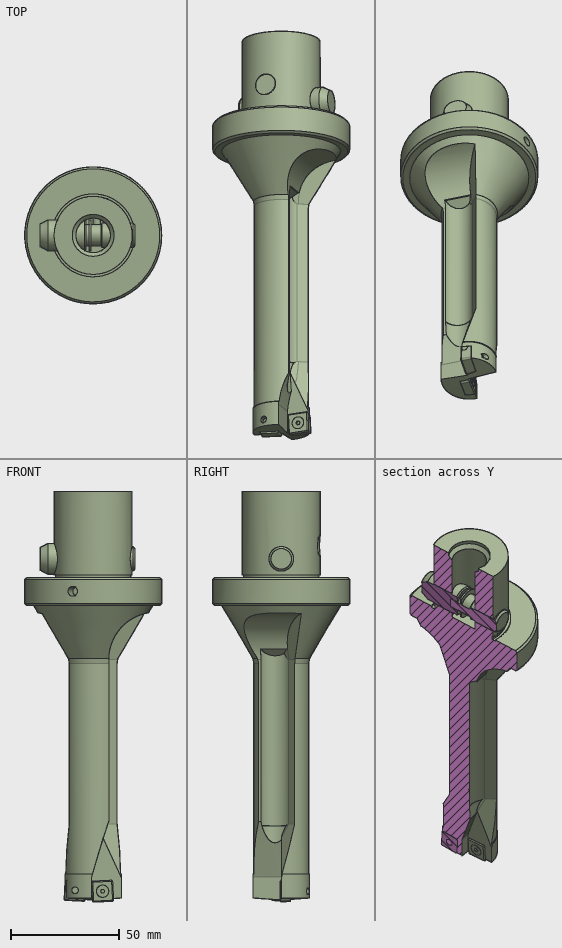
import cadquery as cq
import math


shank_radius = 18.0
overall_length = 190.0
shank_top = 39.7
relief_radius = 17.5
relief_height = 1.1
relief_outer_radius = 19.2
relief_depth = 0.8
bore_radius = 8.0
bore_mouth_radius = 9.7
bore_mouth_depth = 1.7
bore_floor = 0.0
flange_radius = 31.7
flange_bottom = -13.1
flange_chamfer = 1.0

cone_top_radius = 27.5
cone_bottom = -37.6
stem_top = -39.9
stem_radius = 12.7
neck_radius = 13.1
head_radius = 13.1
head_top = -137.2
head_bottom = -148.4
tip_drop = 1.0

flute_floor = 7.2
flute_exit_radius = 21.8
flute_arc_center = -38.0
wall_angle = 33.0
wall_cone_slope = 0.24
wall_bend = -114.0
wall_head_slope = 0.3
floor_low_end = -138.7
outer_run_out_top = -123.5
outer_run_out_bulge = 0.8
outer_low_floor = 3.0
inner_run_out_top = -112.9
inner_run_out_bulge = 0.2
inner_low_floor = -0.8
clearance = 57.0

groove_width = 13.1
groove_depth = 3.8
groove_center = 2.8
groove_top = -33.0
groove_end_slope = 3.2
groove_bend = -115.0
groove_run_out = -131.0
groove_run_out_angle = 4.0

insert_size = 9.9
insert_thickness = 5.0
insert_corner = 0.8
insert_edge_chamfer = 0.5
insert_proud = 0.5
insert_tilt = 3.0
insert_taper = 5.0
outer_insert_x = -8.4
outer_insert_z = -144.8
inner_insert_x = 4.4
screw_head_radius = 2.8
screw_head_height = 1.9
screw_radius = 1.5
screw_tip = 8.7
socket_width = 1.9
socket_depth = 1.0

pin_height = 8.5
sleeve_radius = 7.2
sleeve_start = -24.5
sleeve_end = -3.5
sleeve_tip_radius = 5.3
sleeve_taper = 3.6
stop_ring_start = -1.9
stop_ring_width = 1.0
bolt_radius = 5.7
bolt_neck_radius = 5.0
bolt_start = -7.6
bolt_shoulder = 3.6
bolt_end = 19.4
bolt_chamfer = 1.0
sleeve_hole_end = 4.2
pin_edge_chamfer = 0.5

locator_x = 1.7
locator_z = 14.6
locator_radius = 5.0
locator_outer_end = 17.1
locator_shoulder = 9.5
locator_tip_radius = 1.7
locator_tip_end = 5.0

rim_hole_radius = 2.3
rim_hole_depth = 7.6
rim_hole_z = -6.5
rim_hole_angle = 17.4


def along_x(x, radius, length):
    """Cylinder on the axis of the clamping pin."""
    return cq.Workplane("YZ", origin=(x, 0, pin_height)).circle(radius).extrude(length)


def along_y(x, y, z, radius, length):
    """Cylinder that runs toward +Y."""
    return cq.Workplane("XZ", origin=(x, y, z)).circle(radius).extrude(-length)


def turned_blank():
    outline = [
        (0, shank_top),
        (shank_radius, shank_top),
        (shank_radius, relief_height),
        (relief_radius, relief_height),
        (relief_radius, -relief_depth),
        (relief_outer_radius, -relief_depth),
        (relief_outer_radius, 0),
        (flange_radius - flange_chamfer, 0),
        (flange_radius, -flange_chamfer),
        (flange_radius, flange_bottom + flange_chamfer),
        (flange_radius - flange_chamfer, flange_bottom),
        (cone_top_radius, flange_bottom),
        (neck_radius, cone_bottom),
        (stem_radius, stem_top),
        (stem_radius, head_top),
        (head_radius, head_top),
        (head_radius, head_bottom),
        (0, head_bottom - tip_drop),
    ]
    return cq.Workplane("XZ").polyline(outline).close().revolve(360, (0, 0), (0, 1))


def shank_bore():
    funnel_end = shank_top - bore_mouth_depth - (bore_mouth_radius - bore_radius)
    outline = [
        (0, shank_top),
        (bore_mouth_radius, shank_top),
        (bore_mouth_radius, shank_top - bore_mouth_depth),
        (bore_radius, funnel_end),
        (bore_radius, bore_floor),
        (0, bore_floor),
    ]
    return cq.Workplane("XZ").polyline(outline).close().revolve(360, (0, 0), (0, 1))


def flute_pocket(run_out_top, run_out_bulge, low_floor):
    """Open pocket on the -X side: a floor profile limited by a leaning wall."""
    arc_center_x = -flute_floor - flute_exit_radius
    arc_part = flute_exit_radius * math.sqrt(0.5)
    exit_top = flute_arc_center + flute_exit_radius
    run_out_middle = (
        -(flute_floor + low_floor) / 2 + run_out_bulge,
        (run_out_top + floor_low_end) / 2,
    )
    floor_shape = (
        cq.Workplane("XZ", origin=(0, clearance, 0))
        .moveTo(-clearance, exit_top)
        .lineTo(arc_center_x, exit_top)
        .threePointArc(
            (arc_center_x + arc_part, flute_arc_center + arc_part),
            (-flute_floor, flute_arc_center),
        )
        .lineTo(-flute_floor, run_out_top)
        .threePointArc(run_out_middle, (-low_floor, floor_low_end))
        .lineTo(-low_floor, -overall_length)
        .lineTo(-clearance, -overall_length)
        .close()
        .extrude(2 * clearance)
    )
    return floor_shape.intersect(wall_space())


def wall_block(low_z, high_z, low_shift, high_shift):
    """Space on the +Y side of the leaning wall, whose foot shifts along Y between two heights."""
    lean = math.tan(math.radians(wall_angle))
    foot = groove_center - groove_width / 2 + flute_floor * lean

    def section(z, shift):
        return cq.Wire.makePolygon(
            [
                cq.Vector(-clearance, foot + shift - clearance * lean, z),
                cq.Vector(clearance, foot + shift + clearance * lean, z),
                cq.Vector(clearance, 2 * clearance, z),
                cq.Vector(-clearance, 2 * clearance, z),
            ],
            close=True,
        )

    block = cq.Solid.makeLoft([section(low_z, low_shift), section(high_z, high_shift)], True)
    return cq.Workplane(block)


def wall_space():
    """Upright along the stem, opening into the cone, and closing toward Y = 0 at the head."""
    cone_part = wall_block(flute_arc_center, 0, 0, -wall_cone_slope * flute_arc_center)
    stem_part = wall_block(wall_bend, flute_arc_center, 0, 0)
    head_shift = wall_head_slope * (wall_bend - floor_low_end)
    head_part = wall_block(floor_low_end, wall_bend, head_shift, 0)
    web_part = (
        cq.Workplane("XY", origin=(0, clearance, wall_bend))
        .rect(2 * clearance, 2 * clearance)
        .extrude(-clearance)
    )
    return stem_part.union(cone_part).union(head_part).union(web_part)


def flute_groove():
    """Round-bottomed groove in the flute floor with a sloping top end and a run-out below."""
    half_width = groove_width / 2
    radius = (half_width ** 2 + groove_depth ** 2) / (2 * groove_depth)
    deepest = -flute_floor + groove_depth
    axis_x = deepest - radius
    straight = (
        cq.Workplane("XY", origin=(axis_x, groove_center, groove_bend))
        .circle(radius)
        .extrude(groove_top - groove_bend)
    )
    slope = groove_end_slope / groove_depth
    end_shape = (
        cq.Workplane("XZ", origin=(0, clearance, 0))
        .polyline([
            (-clearance, groove_top),
            (-flute_floor, groove_top),
            (0, groove_top - slope * flute_floor),
            (0, groove_bend),
            (-clearance, groove_bend),
        ])
        .close()
        .extrude(2 * clearance)
    )
    run_out = (
        cq.Workplane("XY", origin=(axis_x, groove_center, groove_bend))
        .circle(radius)
        .extrude(groove_run_out - groove_bend)
        .rotate((deepest, 0, groove_bend), (deepest, 1, groove_bend), groove_run_out_angle)
    )
    return straight.intersect(end_shape).union(run_out).intersect(wall_space())


def half_turn(shape):
    return shape.rotate((0, 0, 0), (0, 0, 1), 180)


def make_insert():
    """Square insert around the origin, rake face toward +Y at the height it stands proud."""
    plate = (
        cq.Workplane("XZ", origin=(0, insert_proud, 0))
        .rect(insert_size, insert_size)
        .extrude(insert_thickness, taper=insert_taper)
        .edges("not (|X or |Z)")
        .fillet(insert_corner)
        .faces(">Y").chamfer(insert_edge_chamfer)
    )
    return plate.cut(screw_shape()).rotate((0, 0, 0), (0, 1, 0), insert_tilt)


def screw_shape():
    """Countersunk screw around the origin, head toward +Y, without its socket."""
    outline = [
        (0, insert_proud),
        (screw_head_radius, insert_proud),
        (screw_radius, insert_proud - screw_head_height),
        (screw_radius, -screw_tip),
        (0, -screw_tip),
    ]
    return cq.Workplane("XY").polyline(outline).close().revolve(360, (0, 0), (0, 1))


def make_insert_screw():
    socket = (
        cq.Workplane("XZ", origin=(0, insert_proud, 0))
        .polygon(6, socket_width)
        .extrude(socket_depth)
    )
    return screw_shape().cut(socket)


def make_sleeve():
    outline = [
        (sleeve_start, 0),
        (sleeve_start, sleeve_tip_radius),
        (sleeve_start + sleeve_taper, sleeve_radius),
        (sleeve_end - pin_edge_chamfer, sleeve_radius),
        (sleeve_end, sleeve_radius - pin_edge_chamfer),
        (sleeve_end, bolt_neck_radius),
        (bolt_start, bolt_neck_radius),
        (bolt_start, 0),
    ]
    sleeve = cq.Workplane("XZ").polyline(outline).close().revolve(360, (0, 0), (1, 0))
    return sleeve.translate((0, 0, pin_height))


def make_stop_ring():
    ring = along_x(stop_ring_start, sleeve_radius, stop_ring_width)
    return ring.cut(along_x(stop_ring_start, bolt_neck_radius, stop_ring_width))


def make_bolt():
    outline = [
        (bolt_start, 0),
        (bolt_start, bolt_neck_radius),
        (bolt_shoulder, bolt_neck_radius),
        (bolt_shoulder + pin_edge_chamfer, bolt_radius),
        (bolt_end - bolt_chamfer, bolt_radius),
        (bolt_end, bolt_radius - bolt_chamfer),
        (bolt_end, 0),
    ]
    bolt = cq.Workplane("XZ").polyline(outline).close().revolve(360, (0, 0), (1, 0))
    return bolt.translate((0, 0, pin_height))


def make_locator():
    tip = along_y(locator_x, locator_tip_end, locator_z, locator_tip_radius, locator_shoulder - locator_tip_end)
    head_length = locator_outer_end - locator_shoulder
    return tip.union(along_y(locator_x, locator_shoulder, locator_z, locator_radius, head_length))


def rim_hole():
    hole = along_y(0, -flange_radius, rim_hole_z, rim_hole_radius, rim_hole_depth)
    return hole.rotate((0, 0, 0), (0, 0, 1), -rim_hole_angle)


insert_corner_drop = make_insert().val().BoundingBox().zmin
inner_insert_z = shank_top - overall_length - insert_corner_drop

inserts = [
    make_insert().translate((outer_insert_x, 0, outer_insert_z)),
    half_turn(make_insert()).translate((inner_insert_x, 0, inner_insert_z)),
]
insert_screws = [
    make_insert_screw().translate((outer_insert_x, 0, outer_insert_z)),
    half_turn(make_insert_screw()).translate((inner_insert_x, 0, inner_insert_z)),
]
screw_holes = [
    along_y(outer_insert_x, -clearance, outer_insert_z, screw_radius, clearance),
    along_y(inner_insert_x, 0, inner_insert_z, screw_radius, clearance),
]
sleeve = make_sleeve()
stop_ring = make_stop_ring()
bolt = make_bolt()
locator = make_locator()

drill = turned_blank().cut(shank_bore()).cut(rim_hole())
outer_pocket = flute_pocket(outer_run_out_top, outer_run_out_bulge, outer_low_floor)
inner_pocket = flute_pocket(inner_run_out_top, inner_run_out_bulge, inner_low_floor)
groove = flute_groove()
outer_cuts = [outer_pocket, groove]
inner_cuts = [half_turn(inner_pocket), half_turn(groove)]
for tool in outer_cuts + inner_cuts + inserts + insert_screws + screw_holes:
    drill = drill.cut(tool)
drill = drill.cut(along_x(-clearance, sleeve_radius, clearance + sleeve_hole_end))
drill = drill.cut(along_x(0, bolt_radius, clearance))
drill = drill.cut(locator)
drill = drill.cut(along_y(locator_x, locator_outer_end, locator_z, locator_radius, clearance))

result = cq.Compound.makeCompound([
    drill.val(),
    *[insert.val() for insert in inserts],
    *[screw.val() for screw in insert_screws],
    sleeve.val(),
    stop_ring.val(),
    bolt.val(),
    locator.val(),
])